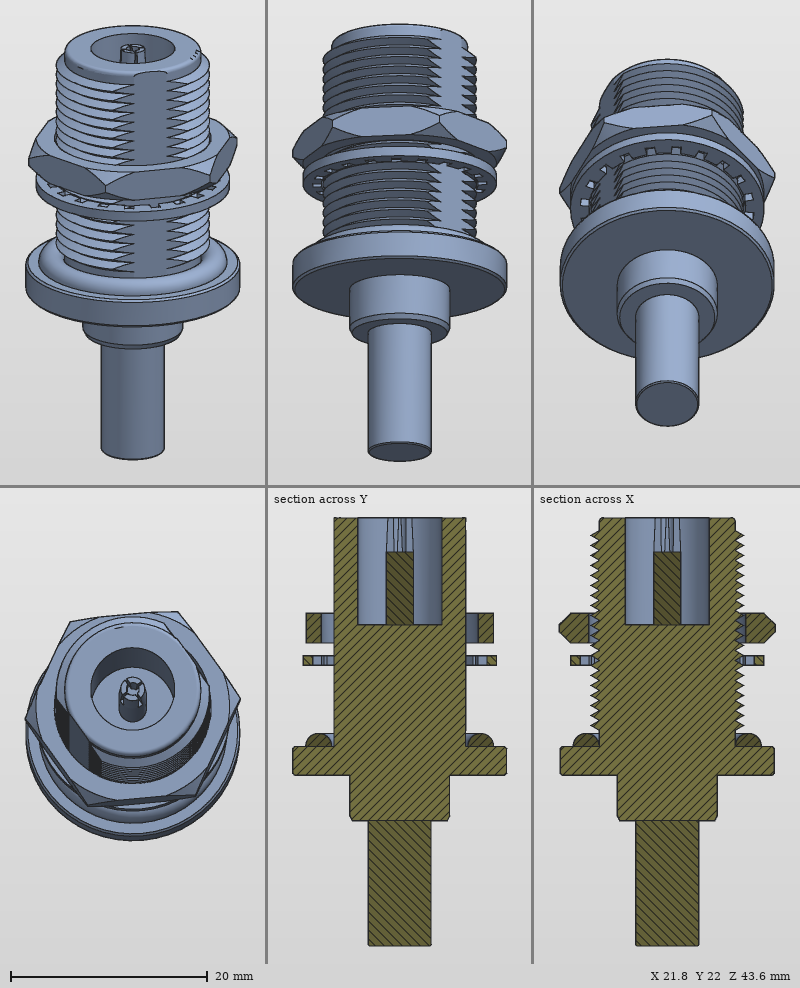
import cadquery as cq
import math

total_height = 43.55

tube_radius = 3.22
tube_chamfer = 0.15

boss_bottom_z = 12.72
boss_radius = 5.1
boss_chamfer_radial = 0.25
boss_chamfer_height = 0.52
flange_bottom_z = 17.35
flange_top_z = 20.3
flange_radius = 10.9
flange_chamfer = 0.2
thread_bottom_z = 21.9
thread_top_z = 42.25
thread_count = 20
root_radius = 6.93
flank_angle = 60.0
rim_fillet = 0.45
flat_distance = 6.7
bore_radius = 4.25
bore_depth = 10.9

gasket_outer_radius = 9.6

clearance_radius = 7.97
washer_bottom_z = 28.55
washer_thickness = 1.0
washer_radius = 9.85
tooth_count = 20
tooth_gap_width = 0.95
tooth_root_radius = 8.85
nut_bottom_z = 30.8
nut_thickness = 3.05
nut_across_corners = 22.0
nut_face_radius = 9.85

pin_tip_radius = 1.2
pin_root_radius = 1.4
pin_hole_radius = 0.65
slot_depth = 3.5
slot_tip_width = 0.2
slot_root_width = 0.52

thread_pitch = (thread_top_z - thread_bottom_z) / thread_count
crest_radius = root_radius + thread_pitch / 2 / math.tan(math.radians(flank_angle / 2))
bore_floor_z = total_height - bore_depth
gasket_section_radius = (gasket_outer_radius - root_radius) / 2


def disc(radius, bottom_z, top_z):
    """Plain cylinder on the Z axis."""
    return cq.Workplane("XY", origin=(0, 0, bottom_z)).circle(radius).extrude(top_z - bottom_z)


def make_boss():
    profile = [
        (0, boss_bottom_z),
        (boss_radius - boss_chamfer_radial, boss_bottom_z),
        (boss_radius, boss_bottom_z + boss_chamfer_height),
        (boss_radius, flange_bottom_z),
        (0, flange_bottom_z),
    ]
    return cq.Workplane("XZ").polyline(profile).close().revolve()


def make_flange():
    return disc(flange_radius, flange_bottom_z, flange_top_z).edges().chamfer(flange_chamfer)


def make_threaded_barrel():
    """Barrel with ring-shaped V ridges, a plain rim and two flats facing -X and +X."""
    barrel = cq.Workplane("XZ").moveTo(0, flange_top_z).lineTo(root_radius, flange_top_z)
    barrel = barrel.lineTo(root_radius, thread_bottom_z)
    for ridge in range(thread_count):
        ridge_z = thread_bottom_z + ridge * thread_pitch
        barrel = barrel.lineTo(crest_radius, ridge_z + thread_pitch / 2)
        barrel = barrel.lineTo(root_radius, ridge_z + thread_pitch)
    barrel = (
        barrel.lineTo(root_radius, total_height - rim_fillet)
        .radiusArc((root_radius - rim_fillet, total_height), -rim_fillet)
        .lineTo(0, total_height)
        .close()
        .revolve()
    )
    between_flats = cq.Workplane("XY").box(
        2 * flat_distance, 2 * flange_radius, total_height, centered=(True, True, False)
    )
    return barrel.intersect(between_flats)


def make_body():
    body = make_boss().union(make_flange()).union(make_threaded_barrel())
    return body.cut(disc(bore_radius, bore_floor_z, total_height))


def make_tube():
    return disc(tube_radius, 0, boss_bottom_z).faces("<Z").chamfer(tube_chamfer)


def make_gasket():
    crown = (root_radius + gasket_section_radius, flange_top_z + gasket_section_radius)
    return (
        cq.Workplane("XZ")
        .moveTo(root_radius, flange_top_z)
        .threePointArc(crown, (gasket_outer_radius, flange_top_z))
        .close()
        .revolve(360, (0, 0), (0, 1))
    )


def make_washer():
    """Flat ring with internal teeth, left standing between gaps cut into its bore."""
    washer_top_z = washer_bottom_z + washer_thickness
    washer = disc(washer_radius, washer_bottom_z, washer_top_z)
    washer = washer.cut(disc(clearance_radius, washer_bottom_z, washer_top_z))
    tooth_gap = cq.Workplane("XY", origin=(0, 0, washer_bottom_z)).box(
        tooth_root_radius, tooth_gap_width, washer_thickness, centered=(False, True, False)
    )
    for tooth in range(tooth_count):
        washer = washer.cut(tooth_gap.rotate((0, 0, 0), (0, 0, 1), tooth * 360 / tooth_count))
    return washer


def make_nut():
    """Hexagon nut with corners on the Y axis, chamfered at 45 degrees on both faces."""
    nut_top_z = nut_bottom_z + nut_thickness
    corner_radius = nut_across_corners / 2
    hexagon = (
        cq.Workplane("XY", origin=(0, 0, nut_bottom_z))
        .transformed(rotate=(0, 0, 90))
        .polygon(6, nut_across_corners)
        .extrude(nut_thickness)
    )
    corner_chamfer = corner_radius - nut_face_radius
    chamfered_blank = disc(corner_radius, nut_bottom_z, nut_top_z).edges().chamfer(corner_chamfer)
    nut = hexagon.intersect(chamfered_blank)
    return nut.cut(disc(clearance_radius, nut_bottom_z, nut_top_z))


def make_slot(angle):
    """Slot across the full contact that widens from the tip downwards."""
    slot_floor_z = total_height - slot_depth
    outline = [
        (-slot_root_width / 2, slot_floor_z),
        (slot_root_width / 2, slot_floor_z),
        (slot_tip_width / 2, total_height),
        (-slot_tip_width / 2, total_height),
    ]
    slot = cq.Workplane("XZ").polyline(outline).close().extrude(pin_root_radius, both=True)
    return slot.rotate((0, 0, 0), (0, 0, 1), angle)


def make_pin():
    """Four tapered spring fingers on a round stem standing on the bore floor."""
    slot_floor_z = total_height - slot_depth
    profile = [
        (0, bore_floor_z),
        (pin_root_radius, bore_floor_z),
        (pin_root_radius, slot_floor_z),
        (pin_tip_radius, total_height),
        (0, total_height),
    ]
    pin = cq.Workplane("XZ").polyline(profile).close().revolve()
    pin = pin.cut(disc(pin_hole_radius, slot_floor_z, total_height))
    for angle in (0, 90):
        pin = pin.cut(make_slot(angle))
    return pin


body = make_body()
tube = make_tube()
gasket = make_gasket()
washer = make_washer()
nut = make_nut()
pin = make_pin()

result = cq.Compound.makeCompound(
    [body.val(), tube.val(), gasket.val(), washer.val(), nut.val(), pin.val()]
)